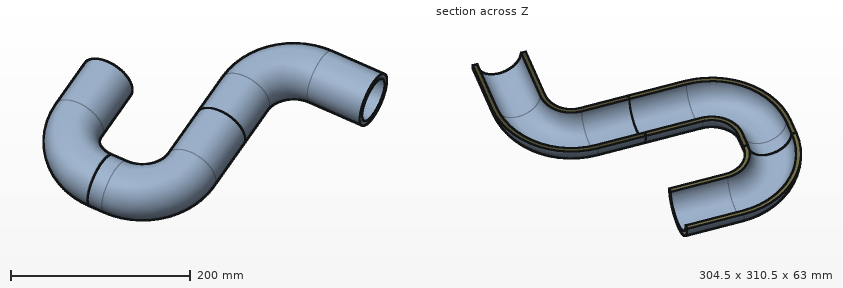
import cadquery as cq
import math

outer_diameter = 63.0
bore_diameter = 51.3
bend_radius = 62.0
leg_length = 67.0
stub_length = 1.5
overall_x = 304.5
overall_y = 310.5

outer_radius = outer_diameter / 2

inlet_axis_x = outer_radius
bottom_axis_y = outer_radius
outlet_axis_y = overall_y - outer_radius
riser_axis_x = overall_x - leg_length - bend_radius
leg_end_y = bottom_axis_y + bend_radius + leg_length
bottom_joint_x = inlet_axis_x + bend_radius + stub_length


def elbow(start, corner, end):
    """Hollow pipe from start to end, with its right-angled corner rounded to the bend radius."""
    def toward(point, target, distance):
        span = math.dist(point, target)
        return tuple(p + (t - p) * distance / span for p, t in zip(point, target))

    bend_start = toward(corner, start, bend_radius)
    bend_end = toward(corner, end, bend_radius)
    bend_center = tuple(a + b - c for a, b, c in zip(bend_start, bend_end, corner))
    bend_middle = toward(bend_center, corner, bend_radius)

    axis = (
        cq.Workplane("XY").moveTo(*start).lineTo(*bend_start)
        .threePointArc(bend_middle, bend_end).lineTo(*end)
    )
    direction = tuple(c - s for s, c in zip(start, corner))
    end_plane = cq.Plane(origin=(*start, 0), xDir=(0, 0, 1), normal=(*direction, 0))
    section = cq.Workplane(end_plane).circle(outer_radius).circle(bore_diameter / 2)
    return section.sweep(axis)


inlet_end = (inlet_axis_x, leg_end_y)
inlet_corner = (inlet_axis_x, bottom_axis_y)
bottom_joint = (bottom_joint_x, bottom_axis_y)
riser_corner = (riser_axis_x, bottom_axis_y)
riser_joint = (riser_axis_x, leg_end_y)
outlet_corner = (riser_axis_x, outlet_axis_y)
outlet_end = (overall_x, outlet_axis_y)

elbows = [
    elbow(inlet_end, inlet_corner, bottom_joint),
    elbow(riser_joint, riser_corner, bottom_joint),
    elbow(riser_joint, outlet_corner, outlet_end),
]

result = cq.Compound.makeCompound([pipe.val() for pipe in elbows])